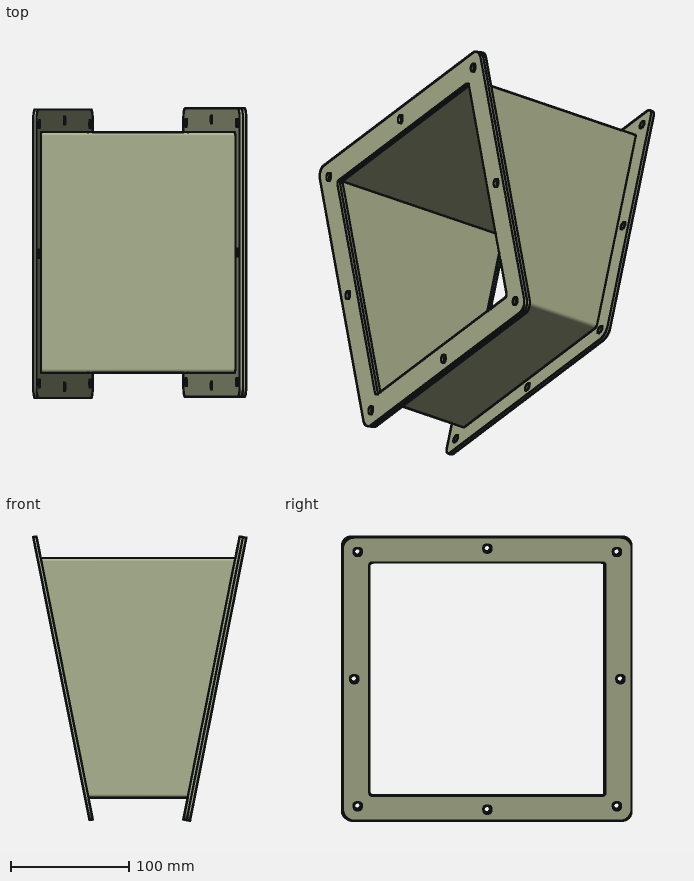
import cadquery as cq
import math

end_slope = 0.199
mid_length = 124.3
duct_width = 203.9
duct_height = 203.4
duct_wall = 2.0
duct_bend_radius = 3.0

bore_width = duct_width - 2 * duct_wall
bore_height = duct_height - 2 * duct_wall

plate_size = 244.6
plate_thickness = 3.0
plate_corner_radius = 8.8
left_frame_offset = -1.0

hole_diameter = 7.0
corner_hole_pitch = 219.5
middle_hole_pitch = 225.5

end_angle = math.atan(end_slope)
opening_width = bore_width
frame_opening_height = bore_height / math.cos(end_angle)

gasket_opening_height = 201.5
gasket_opening_radius = 3.0

LEFT = -1
RIGHT = 1


def make_duct():
    """Tube with a trapezoid side profile, rounded outside edges and a straight bore."""
    half_height = duct_height / 2
    half_top = mid_length / 2 + half_height * end_slope
    half_bottom = mid_length / 2 - half_height * end_slope
    profile = [
        (-half_top, half_height),
        (half_top, half_height),
        (half_bottom, -half_height),
        (-half_bottom, -half_height),
    ]
    body = cq.Workplane("XZ").polyline(profile).close().extrude(duct_width / 2, both=True)
    body = body.edges("|X").fillet(duct_bend_radius)
    bore = cq.Workplane("XY").box(2 * half_top, bore_width, bore_height)
    return body.cut(bore)


def plate_plane(side, plates_below=0, y_offset=0):
    """Plane of a plate's inner face on one duct end, its normal pointing away from the duct."""
    normal = cq.Vector(side * math.cos(end_angle), 0, -math.sin(end_angle))
    end_centre = cq.Vector(side * mid_length / 2, y_offset, 0)
    return cq.Plane(
        origin=end_centre + normal * (plates_below * plate_thickness),
        xDir=(0, 1, 0),
        normal=normal,
    )


def hole_centres():
    """Four bolt holes at the corners and four at the middles of the sides."""
    corner = corner_hole_pitch / 2
    middle = middle_hole_pitch / 2
    corners = [(u * corner, v * corner) for u in (-1, 1) for v in (-1, 1)]
    middles = [(-middle, 0), (middle, 0), (0, -middle), (0, middle)]
    return corners + middles


def rounded_block(plane, width, height, radius):
    """Block one plate thick, standing on the plane, with its four corners rounded."""
    block = cq.Workplane(plane).rect(width, height).extrude(plate_thickness)
    corner_edges = cq.selectors.ParallelDirSelector(plane.zDir)
    return block.edges(corner_edges).fillet(radius)


def drilled_plate(plane):
    """Square plate with rounded corners and eight bolt holes."""
    body = rounded_block(plane, plate_size, plate_size, plate_corner_radius)
    holes = cq.Workplane(plane).pushPoints(hole_centres()).circle(hole_diameter / 2)
    return body.cut(holes.extrude(plate_thickness))


def make_frame(plane):
    """Plate with a sharp-cornered opening as large as the duct's bore."""
    opening = cq.Workplane(plane).rect(opening_width, frame_opening_height)
    return drilled_plate(plane).cut(opening.extrude(plate_thickness))


def make_gasket(plane):
    """Plate with a slightly lower opening whose corners are rounded."""
    opening = rounded_block(plane, opening_width, gasket_opening_height, gasket_opening_radius)
    return drilled_plate(plane).cut(opening)


duct = make_duct()
frame_planes = [
    plate_plane(LEFT, y_offset=left_frame_offset),
    plate_plane(RIGHT),
]
frames = [make_frame(plane) for plane in frame_planes]
gasket = make_gasket(plate_plane(RIGHT, plates_below=1))

result = cq.Compound.makeCompound([
    duct.val(),
    *[frame.val() for frame in frames],
    gasket.val(),
])